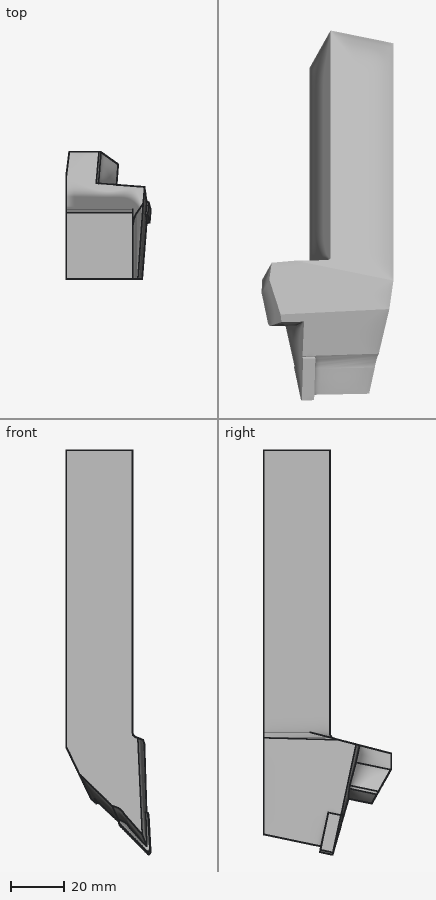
import cadquery as cq

tool_height = 152.4
shank_side = 25.0
neck_z = 44.8
neck_fillet_diameter = 3.8

head_depth = 48.0
head_width = 36.5
cutter_size = 228.6

face_normal = cq.Vector(0.08, 1, -0.21)
face_point = cq.Vector(31.1, 25.9, 0)

back_slope = (cq.Vector(0, shank_side, 44.2), cq.Vector(0, 0.26, 1))
side_shoulder = (cq.Vector(shank_side, 0, neck_z), cq.Vector(0.38, 0, 1))
right_flank = (cq.Vector(27.0, 0, 43.6), cq.Vector(1, -0.07, 0.046))
left_bevel = (cq.Vector(0, 0, 40.5), cq.Vector(-2.08, 0, -1))
underside = (cq.Vector(4.9, 0, 30.5), cq.Vector(-0.97, -0.12, -1))
rear_undercut = (cq.Vector(0, head_depth, 32.3), cq.Vector(0, 1.77, -1))

arm_top_x = 7.6
arm_scoop_x = 9.3
arm_scoop_z = 32.0
arm_lip_x = 16.2
arm_lip_z = 22.9
arm_lip_thickness = 1.2
arm_root_x = 8.2
arm_base_z = 17.8

step_start = (17.2, 18.5)
step_middle = (19.8, 17.5)
step_rear = (22.0, 15.2)
step_end = (31.1, 4.9)
step_drop = 4.5

insert_thickness = 4.9
insert_outline = [(31.1, 0), (31.9, 0.9), (31.1, 15.0), (21.3, 15.2), (20.1, 11.1)]


def outer_space(point, normal):
    """Large block lying entirely on the outward side of a plane."""
    plane = cq.Plane(origin=point, normal=normal)
    return cq.Workplane(plane).rect(cutter_size, cutter_size).extrude(cutter_size)


def face_position(x, z):
    """Point of the inclined insert face at the given X and Z."""
    across = face_normal.x * (x - face_point.x)
    upward = face_normal.z * (z - face_point.z)
    return cq.Vector(x, face_point.y - (across + upward) / face_normal.y, z)


def make_insert():
    """Flat plate behind the insert face, with its point at the lowest corner."""
    corners = [face_position(x, z) for x, z in insert_outline]
    outline = cq.Wire.makePolygon(corners, close=True)
    inward = face_normal.normalized() * -insert_thickness
    return cq.Workplane(cq.Solid.extrudeLinear(outline, [], inward))


def make_shank():
    return (
        cq.Workplane("XY")
        .workplane(offset=neck_z - shank_side)
        .rect(shank_side, shank_side, centered=False)
        .extrude(tool_height - neck_z + shank_side)
    )


def make_arm_space():
    """Prism containing the arm, sheared downward toward the rear."""
    run = face_normal * head_depth
    arm_fall = -run.z
    outline = [
        (-head_width, arm_base_z + arm_fall - head_width),
        (arm_root_x, arm_base_z + arm_fall),
        (arm_lip_x, arm_lip_z + arm_fall - arm_lip_thickness),
        (arm_lip_x, arm_lip_z + arm_fall),
        (arm_scoop_x, arm_scoop_z + arm_fall),
        (arm_top_x, neck_z + arm_fall),
        (-head_width, neck_z + arm_fall),
    ]
    wire = cq.Wire.makePolygon([cq.Vector(x, 0, z) for x, z in outline], close=True)
    return cq.Workplane(cq.Solid.extrudeLinear(wire, [], run))


def make_clearance_step():
    """Shallow relief under the nose, running parallel to the insert normal."""
    profile = (
        cq.Workplane("XZ")
        .moveTo(*step_start)
        .threePointArc(step_middle, step_rear)
        .lineTo(*step_end)
        .lineTo(step_end[0] - step_drop, step_end[1] - step_drop)
        .lineTo(step_start[0] - step_drop, step_start[1] - step_drop)
        .close()
        .val()
    )
    run = face_normal * head_depth
    return cq.Workplane(cq.Solid.extrudeLinear(profile, [], run))


def make_holder(insert):
    head = cq.Workplane("XY").box(head_width, head_depth, neck_z, centered=False)
    for point, normal in (back_slope, side_shoulder, right_flank, rear_undercut):
        head = head.cut(outer_space(point, normal))

    chip_space = outer_space(face_point, face_normal).cut(make_arm_space())
    head = head.cut(chip_space)
    head = head.cut(make_clearance_step())

    holder = head.union(make_shank())
    rear_neck = cq.selectors.NearestToPointSelector((shank_side / 2, shank_side, neck_z))
    side_neck = cq.selectors.NearestToPointSelector((shank_side, shank_side / 2, neck_z))
    neck_edges = holder.edges(rear_neck).add(holder.edges(side_neck))
    holder = neck_edges.fillet(neck_fillet_diameter / 2)
    for point, normal in (left_bevel, underside):
        holder = holder.cut(outer_space(point, normal))

    return holder.cut(insert).solids()


insert = make_insert()
holder = make_holder(insert)
result = cq.Compound.makeCompound([holder.val(), insert.val()])